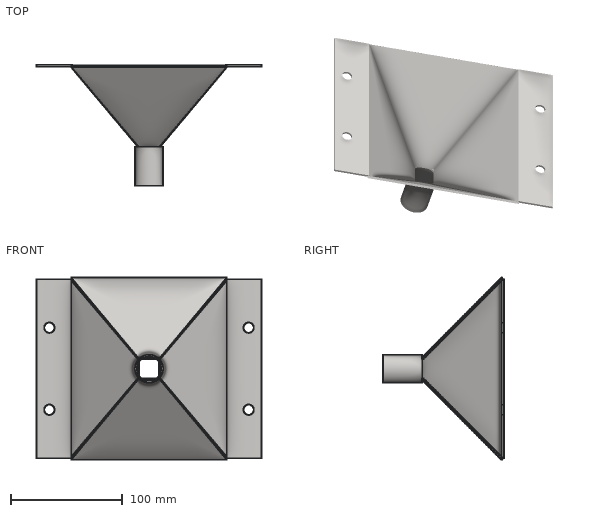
import cadquery as cq
import math

SHEET = 2.0
TOTAL_WIDTH = 201.6
TOTAL_DEPTH = 108.5
TOTAL_HEIGHT = 163.3
FLANGE_HEIGHT = 160.5
BEND_HALF_WIDTH = 69.8
MOUTH_SETBACK = 2.2
OUTLET_HALF = 10.0
HOLE_DIAMETER = 9.0
HOLE_X = 89.1
HOLE_Z = 36.7
TUBE_DIAMETER = 25.2
TUBE_WALL = 1.6
TUBE_LENGTH = 35.0

half_width = TOTAL_WIDTH / 2
half_height = FLANGE_HEIGHT / 2
mouth_half_height = TOTAL_HEIGHT / 2
outlet_y = TUBE_LENGTH - TOTAL_DEPTH

wall_angle = math.atan2(BEND_HALF_WIDTH - OUTLET_HALF, -SHEET - outlet_y)
wall_inner_x = OUTLET_HALF - SHEET * math.cos(wall_angle)
wall_inner_y = outlet_y + SHEET * math.sin(wall_angle)
bend_back_x = BEND_HALF_WIDTH - SHEET * math.tan((math.pi / 2 - wall_angle) / 2)

slope_rise = mouth_half_height - OUTLET_HALF
slope_run = -MOUTH_SETBACK - outlet_y
slope_length = math.hypot(slope_rise, slope_run)
inner_offset_y = SHEET * slope_rise / slope_length
inner_offset_z = SHEET * slope_run / slope_length


def sloped_plate(sign):
    """Trapezoid plate above (+1) or below (-1) the axis, thickened inward from its outer face."""
    outer_face = cq.Plane(
        origin=(0, outlet_y, sign * OUTLET_HALF),
        xDir=(1, 0, 0),
        normal=(0, -slope_rise, sign * slope_run),
    )
    wide_edge = sign * slope_length
    return (
        cq.Workplane(outer_face)
        .polyline([
            (-OUTLET_HALF, 0),
            (OUTLET_HALF, 0),
            (BEND_HALF_WIDTH, wide_edge),
            (-BEND_HALF_WIDTH, wide_edge),
        ])
        .close()
        .extrude(-SHEET)
    )


def wall_envelope():
    """Tapered block that trims the top and bottom edges of the side walls."""
    mouth_y = inner_offset_y - MOUTH_SETBACK
    mouth_z = mouth_half_height - inner_offset_z
    neck_z = OUTLET_HALF - inner_offset_z
    return (
        cq.Workplane("YZ")
        .polyline([
            (0, -mouth_z),
            (mouth_y, -mouth_z),
            (outlet_y, -neck_z),
            (outlet_y, neck_z),
            (mouth_y, mouth_z),
            (0, mouth_z),
        ])
        .close()
        .extrude(BEND_HALF_WIDTH, both=True)
    )


def flanged_plate(sign):
    """Bent plate on the +X (+1) or -X (-1) side: drilled flange and sloping side wall."""
    flange = (
        cq.Workplane("XY")
        .polyline([
            (sign * half_width, 0),
            (sign * bend_back_x, 0),
            (sign * BEND_HALF_WIDTH, -SHEET),
            (sign * half_width, -SHEET),
        ])
        .close()
        .extrude(half_height, both=True)
    )
    wall = (
        cq.Workplane("XY")
        .polyline([
            (sign * bend_back_x, 0),
            (sign * wall_inner_x, wall_inner_y),
            (sign * OUTLET_HALF, outlet_y),
            (sign * BEND_HALF_WIDTH, -SHEET),
        ])
        .close()
        .extrude(half_height, both=True)
        .intersect(wall_envelope())
    )
    holes = (
        cq.Workplane("XZ")
        .pushPoints([(sign * HOLE_X, -HOLE_Z), (sign * HOLE_X, HOLE_Z)])
        .circle(HOLE_DIAMETER / 2)
        .extrude(SHEET)
    )
    return flange.union(wall).cut(holes)


def outlet_tube():
    """Round tube running forward from the outlet."""
    outer_radius = TUBE_DIAMETER / 2
    return (
        cq.Workplane("XZ", origin=(0, outlet_y, 0))
        .circle(outer_radius)
        .circle(outer_radius - TUBE_WALL)
        .extrude(TUBE_LENGTH)
    )


sloped_plates = [sloped_plate(sign) for sign in (-1, 1)]

flanged_plates = []
for side in (-1, 1):
    plate = flanged_plate(side)
    for sloped in sloped_plates:
        plate = plate.cut(sloped)
    flanged_plates.append(plate)

tube = outlet_tube()

result = cq.Compound.makeCompound([
    *[plate.val() for plate in sloped_plates],
    *[plate.solids().val() for plate in flanged_plates],
    tube.val(),
])